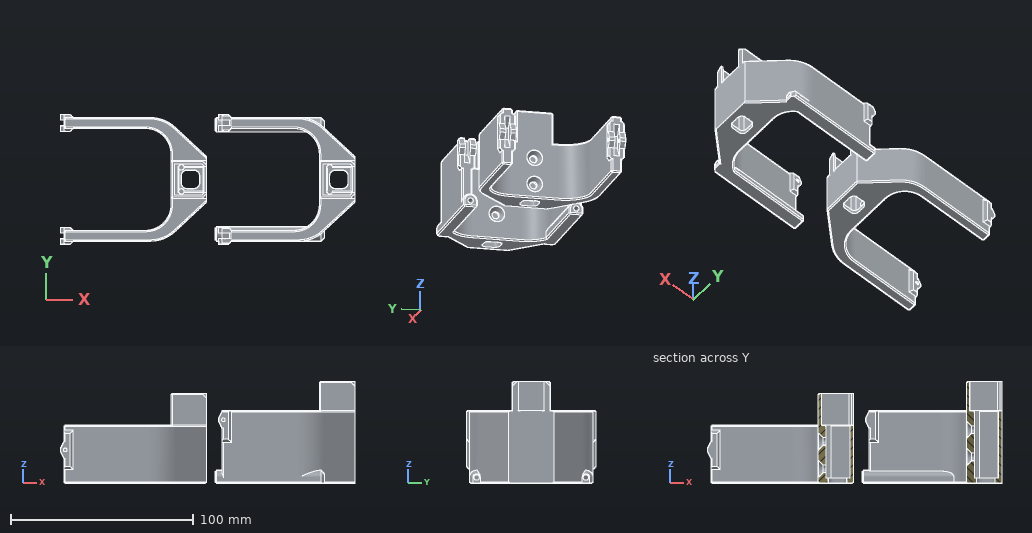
import cadquery as cq
import math

ARM_OUTER = 34.0
ARM_THICKNESS = 6.0
ARM_INNER = ARM_OUTER - ARM_THICKNESS
ARM_CENTER = ARM_OUTER - ARM_THICKNESS / 2
THROAT_DEPTH = 19.6
INNER_RADIUS = 14.0
SHOULDER_RADIUS = 20.0
SHOULDER_START = 31.0
BACK_HALF_WIDTH = 12.5
EDGE_CHAMFER = 0.8

TOWER_HALF_WIDTH = 10.5
TOWER_CHAMFER = 0.7
TOWER_WALL = 2.0
TOWER_ROOT = 5.0
LIP_HALF_OPENING = 7.1
LIP_THICKNESS = 1.2
CORNER_CUT = 2.7
SOCKET_FRONT = 15.1
SOCKET_BACK = 2.1
SOCKET_HALF_WIDTH = (SOCKET_FRONT - SOCKET_BACK) / 2
SOCKET_FLOOR = 3.0
SOCKET_LEAD_IN = 0.6
RELIEF_DIAMETER = 3.0
RELIEF_X = 13.9
RELIEF_Y = 6.6
WINDOW_SIZE = 10.0
WINDOW_X = 8.9
WINDOW_FILLET = 3.0

SCREW_DIAMETER = 4.0
SCREW_HEAD_DIAMETER = 8.8
SCREW_HEAD_BORE = 0.4
SCREW_CONE_DEPTH = (SCREW_HEAD_DIAMETER - SCREW_DIAMETER) / 2
SCREW_DROPS = (26.5, 41.5)

CLIP_HALF_WIDTH = 4.7
CLIP_DEPTH = 5.2
CLIP_TAPER = CLIP_HALF_WIDTH - ARM_THICKNESS / 2
TAB_REACH = 1.8
TAB_HALF_BASE = 4.6
TAB_HALF_NOSE = 1.0
SLOT_WIDTH = 3.0
SLOT_DEPTH = 4.1
SLOT_HALF_FLOOR = 3.3
SLOT_HALF_LENGTH = 9.0
PIVOT_DIAMETER = 2.0
PIVOT_SETBACK = 0.8

LOW_BACK = 0.0
LOW_ARM_HEIGHT = 32.0
LOW_ARM_LENGTH = 78.5
LOW_TOWER_TOP = 49.5
LOW_CLIP_CENTER = 18.4
LOW_CLIP_HALF_LENGTH = 10.8
LOW_RELIEF_EXTRA = 1.0

HIGH_BACK = 81.5
HIGH_ARM_HEIGHT = 40.0
HIGH_ARM_LENGTH = 73.1
HIGH_TOWER_TOP = 56.02
HIGH_CLIP_CENTER = 34.9
HIGH_CLIP_BOTTOM = 22.6

TUBE_RADIUS = 4.0
TUBE_CENTER_Y = ARM_OUTER - TUBE_RADIUS
TUBE_CENTER_Z = 3.25
TUBE_FRONT = 76.8
TUBE_REAR = 16.7
TUBE_REAR_BEVEL = 2.0
TUBE_BORE = 3.0


def box(x_range, y_range, z_range):
    """Block filling the given (low, high) ranges."""
    corner = cq.Vector(x_range[0], y_range[0], z_range[0])
    size = (x_range[1] - x_range[0], y_range[1] - y_range[0], z_range[1] - z_range[0])
    return cq.Workplane(cq.Solid.makeBox(*size, corner))


def extrude_along_y(points, center_y, width):
    """Prism with an (x, z) outline, centred on center_y."""
    plane = cq.Workplane("XZ", origin=(0, center_y, 0))
    return plane.polyline(points).close().extrude(width / 2, both=True)


def shoulder_angle():
    """Angle on the upper shoulder arc at which the line from the back corner touches it."""
    center_x, center_y = -SHOULDER_START, ARM_OUTER - SHOULDER_RADIUS
    dx, dy = -center_x, BACK_HALF_WIDTH - center_y
    return math.atan2(dy, dx) + math.acos(SHOULDER_RADIUS / math.hypot(dx, dy))


def arms(length, height, chamfer_back):
    """U-shaped body with chamfered edges; its back plane is at x = 0."""
    arc_x, arc_y = -SHOULDER_START, ARM_OUTER - SHOULDER_RADIUS
    end_angle = shoulder_angle()
    mid_angle = (math.pi / 2 + end_angle) / 2
    mid_x = arc_x + SHOULDER_RADIUS * math.cos(mid_angle)
    mid_y = arc_y + SHOULDER_RADIUS * math.sin(mid_angle)
    end_x = arc_x + SHOULDER_RADIUS * math.cos(end_angle)
    end_y = arc_y + SHOULDER_RADIUS * math.sin(end_angle)
    outer = (
        cq.Workplane("XY")
        .moveTo(-length, ARM_OUTER)
        .lineTo(arc_x, ARM_OUTER)
        .threePointArc((mid_x, mid_y), (end_x, end_y))
        .lineTo(0, BACK_HALF_WIDTH)
        .lineTo(0, -BACK_HALF_WIDTH)
        .lineTo(end_x, -end_y)
        .threePointArc((mid_x, -mid_y), (arc_x, -ARM_OUTER))
        .lineTo(-length, -ARM_OUTER)
        .close()
        .extrude(height)
    )
    throat_overrun = 10.0
    throat = box((-length - throat_overrun, -THROAT_DEPTH), (-ARM_INNER, ARM_INNER), (0, height))
    throat = throat.edges("|Z and >X").fillet(INNER_RADIUS)
    body = outer.cut(throat)
    body = body.edges("|Z and <X").chamfer(EDGE_CHAMFER)
    body = body.faces(">Z").edges("not >X").chamfer(EDGE_CHAMFER)
    bottom_edges = body.faces("<Z").edges() if chamfer_back else body.faces("<Z").edges("not >X")
    return bottom_edges.chamfer(EDGE_CHAMFER)


def tower(arm_height, top):
    """Solid mast with chamfered front and top edges and bevelled rear corners."""
    depth_range = (-THROAT_DEPTH, 0)
    width_range = (-TOWER_HALF_WIDTH, TOWER_HALF_WIDTH)
    foot_bottom = arm_height - TOWER_ROOT
    foot = box(depth_range, width_range, (foot_bottom, arm_height - EDGE_CHAMFER))
    mast = box(depth_range, width_range, (foot_bottom, top))
    mast = mast.edges("|Z and <X").chamfer(TOWER_CHAMFER)
    mast = mast.faces(">Z").edges("not >X").chamfer(TOWER_CHAMFER)
    for side in (1, -1):
        corner = cq.Vector(0, side * TOWER_HALF_WIDTH, top)
        mast = mast.cut(corner_wedge(corner, side))
    return mast.union(foot)


def corner_wedge(corner, side):
    """Tetrahedron that bevels one top rear corner of the tower."""
    toward_front = corner + cq.Vector(-CORNER_CUT, 0, 0)
    toward_middle = corner + cq.Vector(0, -side * CORNER_CUT, 0)
    toward_bottom = corner + cq.Vector(0, 0, -CORNER_CUT)
    triangles = (
        (corner, toward_front, toward_middle),
        (corner, toward_front, toward_bottom),
        (corner, toward_middle, toward_bottom),
        (toward_front, toward_middle, toward_bottom),
    )
    faces = [cq.Face.makeFromWires(cq.Wire.makePolygon(points, close=True)) for points in triangles]
    return cq.Workplane(cq.Solid.makeSolid(cq.Shell.makeShell(faces)))


def tower_channel(arm_height, top):
    """Space between the tower walls, narrowing to an open slot at the back."""
    half_width = TOWER_HALF_WIDTH - TOWER_WALL
    lip_slope = half_width - LIP_HALF_OPENING
    half_outline = [
        (-THROAT_DEPTH + TOWER_WALL, half_width),
        (-LIP_THICKNESS - lip_slope, half_width),
        (-LIP_THICKNESS, LIP_HALF_OPENING),
        (0, LIP_HALF_OPENING),
    ]
    outline = half_outline + [(x, -y) for x, y in reversed(half_outline)]
    return cq.Workplane("XY", origin=(0, 0, arm_height)).polyline(outline).close().extrude(top - arm_height)


def socket(arm_height, relief_extra):
    """Square pocket below the channel, with round corner reliefs and a window in its floor."""
    pocket = box(
        (-SOCKET_FRONT, -SOCKET_BACK),
        (-SOCKET_HALF_WIDTH, SOCKET_HALF_WIDTH),
        (SOCKET_FLOOR, arm_height),
    )
    lead_in = (
        cq.Workplane("XY", origin=(-(SOCKET_FRONT + SOCKET_BACK) / 2, 0, arm_height))
        .rect(2 * (SOCKET_HALF_WIDTH + SOCKET_LEAD_IN), 2 * (SOCKET_HALF_WIDTH + SOCKET_LEAD_IN))
        .extrude(-SOCKET_LEAD_IN, taper=45)
    )
    relief_floor = SOCKET_FLOOR - relief_extra
    reliefs = (
        cq.Workplane("XY", origin=(0, 0, relief_floor))
        .pushPoints([(-RELIEF_X, RELIEF_Y), (-RELIEF_X, -RELIEF_Y)])
        .circle(RELIEF_DIAMETER / 2)
        .extrude(arm_height - relief_floor)
    )
    window = (
        cq.Workplane("XY", origin=(-WINDOW_X, 0, 0))
        .rect(WINDOW_SIZE, WINDOW_SIZE)
        .extrude(SOCKET_FLOOR)
        .edges("|Z")
        .fillet(WINDOW_FILLET)
    )
    return pocket.union(lead_in).union(reliefs).union(window)


def screw_hole(height):
    """Countersunk hole from the inner wall into the socket."""
    start = cq.Vector(-THROAT_DEPTH, 0, height)
    along = cq.Vector(1, 0, 0)
    shank = cq.Solid.makeCylinder(SCREW_DIAMETER / 2, THROAT_DEPTH - SOCKET_FRONT, start, along)
    head = cq.Solid.makeCylinder(SCREW_HEAD_DIAMETER / 2, SCREW_HEAD_BORE, start, along)
    cone_start = start + along * SCREW_HEAD_BORE
    cone = cq.Solid.makeCone(SCREW_HEAD_DIAMETER / 2, SCREW_DIAMETER / 2, SCREW_CONE_DEPTH, cone_start, along)
    return cq.Workplane(shank).union(cq.Workplane(head)).union(cq.Workplane(cone))


def frame(arm_length, arm_height, tower_top, relief_extra, chamfer_back):
    """Arms and tower with the socket and screw holes, without the arm ends."""
    body = arms(arm_length, arm_height, chamfer_back).union(tower(arm_height, tower_top))
    body = body.cut(tower_channel(arm_height, tower_top))
    body = body.cut(socket(arm_height, relief_extra))
    for drop in SCREW_DROPS:
        body = body.cut(screw_hole(tower_top - drop))
    return body


def clip_block(face_x, center_y, bottom, top, top_taper):
    """Block around an arm end, tapered at the back and bottom, and by top_taper at the top."""
    back_x = face_x + CLIP_DEPTH
    half = CLIP_HALF_WIDTH
    plan = [
        (face_x, half - EDGE_CHAMFER),
        (face_x + EDGE_CHAMFER, half),
        (back_x - CLIP_TAPER, half),
        (back_x, half - CLIP_TAPER),
    ]
    plan += [(x, -y) for x, y in reversed(plan)]
    elevation = [
        (half - top_taper, top),
        (half, top - top_taper),
        (half, bottom + CLIP_TAPER),
        (half - CLIP_TAPER, bottom),
    ]
    elevation += [(-y, z) for y, z in reversed(elevation)]
    upright = cq.Workplane("XY", origin=(0, center_y, bottom)).polyline(plan).close().extrude(top - bottom)
    lengthwise = (
        cq.Workplane("YZ", origin=(face_x, center_y, 0)).polyline(elevation).close().extrude(CLIP_DEPTH)
    )
    return upright.intersect(lengthwise)


def clip_tab(face_x, center_y, center_z):
    """Pointed nose ahead of the arm end."""
    root_x = face_x + EDGE_CHAMFER
    nose_x = face_x - TAB_REACH
    outline = [
        (root_x, center_z - TAB_HALF_BASE),
        (face_x, center_z - TAB_HALF_BASE),
        (nose_x, center_z - TAB_HALF_NOSE),
        (nose_x, center_z + TAB_HALF_NOSE),
        (face_x, center_z + TAB_HALF_BASE),
        (root_x, center_z + TAB_HALF_BASE),
    ]
    return extrude_along_y(outline, center_y, 2 * CLIP_HALF_WIDTH)


def clip_slot(face_x, center_y, center_z, open_top):
    """Slot splitting the nose, with a sloped lower end.

    The upper end slopes too, unless open_top gives the height at which the slot runs out.
    """
    nose_x = face_x - TAB_REACH
    floor_x = face_x + SLOT_DEPTH
    if open_top:
        upper_end = [
            (floor_x, open_top - EDGE_CHAMFER),
            (floor_x + EDGE_CHAMFER, open_top),
            (nose_x, open_top),
        ]
    else:
        slot_top = center_z + SLOT_HALF_LENGTH
        upper_end = [(floor_x, center_z + SLOT_HALF_FLOOR), (face_x, slot_top), (nose_x, slot_top)]
    lower_end = [
        (nose_x, center_z - SLOT_HALF_LENGTH),
        (face_x, center_z - SLOT_HALF_LENGTH),
        (floor_x, center_z - SLOT_HALF_FLOOR),
    ]
    return extrude_along_y(lower_end + upper_end, center_y, SLOT_WIDTH)


def pivot_hole(face_x, center_z):
    """Hole straight through the clip on the -Y arm."""
    start = cq.Vector(face_x + PIVOT_SETBACK, -ARM_CENTER - CLIP_HALF_WIDTH, center_z)
    along = cq.Vector(0, 1, 0)
    return cq.Workplane(cq.Solid.makeCylinder(PIVOT_DIAMETER / 2, 2 * CLIP_HALF_WIDTH, start, along))


def add_clips(body, face_x, center_z, bottom, top, top_taper, open_top=None):
    """Slotted clips on the ends of both arms, with a pivot hole through the -Y one."""
    for side in (1, -1):
        center_y = side * ARM_CENTER
        body = body.union(clip_block(face_x, center_y, bottom, top, top_taper))
        body = body.union(clip_tab(face_x, center_y, center_z))
        body = body.cut(clip_slot(face_x, center_y, center_z, open_top))
    return body.cut(pivot_hole(face_x, center_z))


def tube(side):
    """Round-topped rib along the bottom of one arm."""
    length = TUBE_FRONT - TUBE_REAR
    rib = (
        cq.Workplane("YZ", origin=(-TUBE_FRONT, side * TUBE_CENTER_Y, 0))
        .moveTo(-TUBE_RADIUS, 0)
        .lineTo(-TUBE_RADIUS, TUBE_CENTER_Z)
        .threePointArc((0, TUBE_CENTER_Z + TUBE_RADIUS), (TUBE_RADIUS, TUBE_CENTER_Z))
        .lineTo(TUBE_RADIUS, 0)
        .close()
        .extrude(length)
    )
    outer_edge = ">Y" if side > 0 else "<Y"
    rib = rib.faces(">X").edges("|Z").edges(outer_edge).chamfer(TUBE_REAR_BEVEL)
    rib = rib.faces("<X").edges().chamfer(EDGE_CHAMFER)
    return rib.faces("<Z").edges("|X").chamfer(EDGE_CHAMFER)


def tube_bore(side):
    """Hole along the whole length of one rod tube."""
    start = cq.Vector(-TUBE_FRONT, side * TUBE_CENTER_Y, TUBE_CENTER_Z)
    return cq.Workplane(
        cq.Solid.makeCylinder(TUBE_BORE / 2, TUBE_FRONT - TUBE_REAR, start, cq.Vector(1, 0, 0))
    )


def make_low_bracket():
    """Bracket with the lower arms and closed clip slots."""
    body = frame(LOW_ARM_LENGTH, LOW_ARM_HEIGHT, LOW_TOWER_TOP, LOW_RELIEF_EXTRA, chamfer_back=True)
    clip_bottom = LOW_CLIP_CENTER - LOW_CLIP_HALF_LENGTH
    clip_top = LOW_CLIP_CENTER + LOW_CLIP_HALF_LENGTH
    body = add_clips(body, -LOW_ARM_LENGTH, LOW_CLIP_CENTER, clip_bottom, clip_top, CLIP_TAPER)
    return body.translate((LOW_BACK, 0, 0))


def make_high_bracket():
    """Bracket with the higher arms, rod tubes and clip slots open at the top."""
    body = frame(HIGH_ARM_LENGTH, HIGH_ARM_HEIGHT, HIGH_TOWER_TOP, 0, chamfer_back=False)
    for side in (1, -1):
        body = body.union(tube(side))
        body = body.cut(tube_bore(side))
    body = add_clips(
        body,
        -HIGH_ARM_LENGTH,
        HIGH_CLIP_CENTER,
        HIGH_CLIP_BOTTOM,
        HIGH_ARM_HEIGHT,
        EDGE_CHAMFER,
        open_top=HIGH_ARM_HEIGHT,
    )
    return body.translate((HIGH_BACK, 0, 0))


low_bracket = make_low_bracket()
high_bracket = make_high_bracket()

result = cq.Compound.makeCompound([low_bracket.val(), high_bracket.val()])